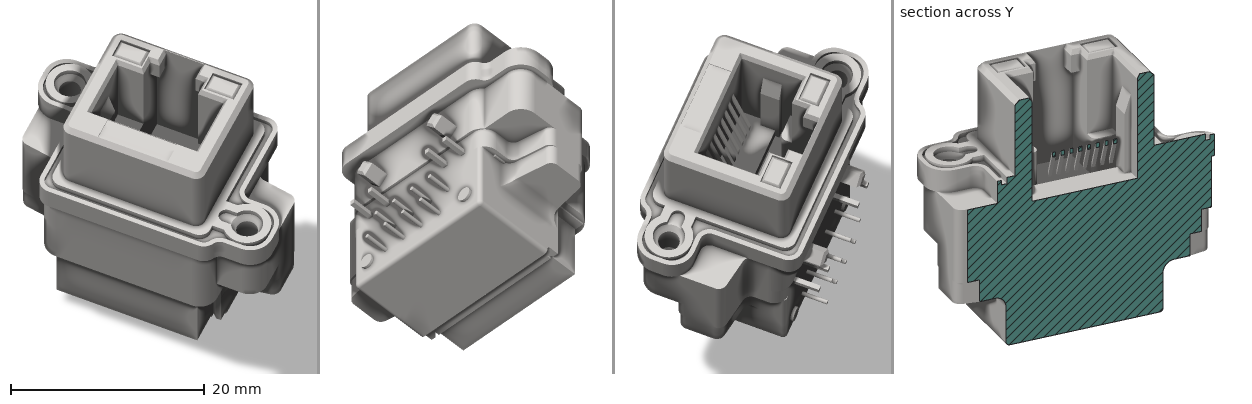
import cadquery as cq
import math


TOTAL_HEIGHT = 28.33
RIDGE_TOP = 19.63
RIM_TOP = 19.42
GROOVE_FLOOR = 18.9
FLANGE_BOTTOM = 16.85
EAR_BLOCK_BOTTOM = 10.9
BODY_BOTTOM = 8.33
PLATE_BOTTOM = 8.1
LUG_BOTTOM = 5.8
INSERT_BOTTOM = 1.35

SHELL_X, SHELL_Y = 15.95, 14.05
SHELL_CORNER = 1.03
SHELL_CHAMFER = 0.5

FLANGE_X, FLANGE_Y = 20.0, 17.97
FLANGE_CORNER = 1.5
EAR_REACH = 15.15
EAR_Y = 4.45
EAR_HALF_WIDTH = 3.1
EAR_CORNER = 2.48
EAR_BLEND = 1.03
RIM_WIDTH = 0.5

RIDGE_X, RIDGE_Y = 17.75, 15.88
RIDGE_CORNER = 1.2
RIDGE_RING_RADIUS = 2.5
RIDGE_NECK_WIDTH = 3.45
SCREW_X = 12.03
SCREW_RECESS_RADIUS = 1.67
SCREW_RECESS_DEPTH = 0.6
SCREW_CONE_DEPTH = 0.55
SCREW_RADIUS = 1.12
SCREW_DEPTH = 4.55
SCREW_TIP_HEIGHT = 0.67
KEY_SLOT_WIDTH = 1.58

BODY_X = 19.45
BODY_FRONT = -8.8
BODY_BACK = 7.67
BODY_CORNER = 2.0
BODY_LOWER_BACK_CORNER = 1.65
LUG_REACH = 14.55
LUG_TIP_HALF = 2.55
LUG_TAPER = math.radians(9.1)
LUG_CORNER = 0.95
LUG_BLEND = 0.97
EAR_BLOCK_SIDE = 6.95
EAR_BLOCK_CORNER = 1.97

BLOCK_X = 18.0
BLOCK_FRONT = -4.3
BLOCK_BACK = 7.33
BLOCK_BACK_CORNER = 0.48
BLOCK_EDGE = 0.45
BLOCK_BLEND = 1.25
REAR_LUG_TIP_HALF = 2.33
PICK_MARGIN = 0.03
NOTCH_DEPTH = 1.55
NOTCH_HEIGHT = 0.95
NOTCH_FILLET = 0.5
INSERT_X = 15.95
INSERT_FRONT = -7.97
COVER_FRONT = -8.05
SLIT_WIDTH = 0.48
TAB_REACH = 9.25
TAB_Y, TAB_WIDTH = 4.58, 1.48

CAVITY_HALF = 6.0
CAVITY_FRONT = -3.7
SHOULDER_Y = 3.1
KEY_HALF = 3.1
KEY_STEP_Y = 4.8
LATCH_HALF = 2.03
CAVITY_BACK = 6.48
LEAD_IN = 0.3
LEAD_IN_DEPTH = 0.5
LATCH_TAB_DEPTH = 2.55
CAVITY_DEPTH = 13.33
LEDGE_DEPTH = 9.1
LEDGE_Y = 1.73
LEDGE_CORNER = 0.6
FLOOR_STEP_Y = 0.33
FLOOR_STEP = 1.2
WEDGE_DEPTH = 3.1
WEDGE_WIDTH = 0.73
WEDGE_DROP = 2.12
WEDGE_BACK, WEDGE_FRONT = 0.8, -1.3

CONTACT_COUNT = 8
CONTACT_PITCH = 1.0
CONTACT_WIDTH = 0.42
CONTACT_TIP_Y = -1.75
CONTACT_TOP_DEPTH = 4.25
CONTACT_TIP_DEPTH = 9.7
CONTACT_THICKNESS = 0.6

WINDOW_X, WINDOW_Y = 5.2, 4.75
WINDOW_LENGTH, WINDOW_WIDTH = 3.35, 2.25
WINDOW_DEPTH = 0.35
LIGHT_BEVEL = 0.33
PLATE_X = 7.88
PLATE_FRONT, PLATE_BACK = -6.48, -4.03
PLATE_DEPTH = 0.1

PIN_ROOT = 3.03
PIN_TIP = 10.15
SIGNAL_PITCH = 1.27
SIGNAL_COUNT = 8
SIGNAL_DIAMETER = 0.45
SIGNAL_ROWS = (4.9, 2.35)
TAIL_Z = 8.9
TAIL_WIDTH = 0.55
TAIL_XS = (4.05, 6.58)
POST_TIP = 10.25
POST_X = 4.97
POST_Z = 12.9
POST_DIAGONAL = 2.18
POST_CHAMFER = 0.27
STANDOFF_X, STANDOFF_Z = 6.97, 2.33
STANDOFF_DIAMETER = 1.6


def box(x0, x1, y0, y1, z0, z1):
    return cq.Workplane("XY").box(x1 - x0, y1 - y0, z1 - z0, centered=False).translate((x0, y0, z0))


def rounded_box(x_size, y_size, z0, z1, radius):
    block = box(-x_size / 2, x_size / 2, -y_size / 2, y_size / 2, z0, z1)
    return block.edges("|Z").fillet(radius)


def half_turn(shape):
    """The same shape at the opposite ear, turned 180 degrees about Z."""
    return shape.rotate((0, 0, 0), (0, 0, 1), 180)


def both_ends(shape):
    return shape.union(half_turn(shape))


def both_sides(shape):
    return shape.union(shape.mirror("YZ"))


def back_plane(x, z):
    """Workplane inside the rear wall whose normal points along +Y."""
    return cq.Workplane(cq.Plane((x, PIN_ROOT, z), (1, 0, 0), (0, 1, 0)))


def flange_outline(z0, z1, inset=0.0):
    """Flange with both ears, its whole outline moved inwards by inset."""
    half_x = FLANGE_X / 2 - inset
    ear_half = EAR_HALF_WIDTH - inset
    plate = rounded_box(2 * half_x, FLANGE_Y - 2 * inset, z0, z1, FLANGE_CORNER - inset)
    ear = box(-EAR_REACH + inset, 0, EAR_Y - ear_half, EAR_Y + ear_half, z0, z1)
    ear = ear.edges("|Z and <X").fillet(EAR_CORNER - inset)
    outline = plate.union(both_ends(ear))

    corner = FLANGE_CORNER - inset
    corner_y = FLANGE_Y / 2 - FLANGE_CORNER
    rise = EAR_Y + ear_half - corner_y
    outer_x = half_x - corner + math.sqrt(corner ** 2 - rise ** 2)
    for x, y in ((-outer_x, EAR_Y + ear_half), (-half_x, EAR_Y - ear_half)):
        for sign in (1, -1):
            near = cq.selectors.NearestToPointSelector((sign * x, sign * y, (z0 + z1) / 2))
            outline = outline.edges("|Z").edges(near).fillet(EAR_BLEND + inset)
    return outline


def sealing_ridge():
    ridge = rounded_box(RIDGE_X, RIDGE_Y, GROOVE_FLOOR, RIDGE_TOP, RIDGE_CORNER)
    height = RIDGE_TOP - GROOVE_FLOOR
    ring = cq.Workplane("XY", origin=(-SCREW_X, EAR_Y, GROOVE_FLOOR))
    ring = ring.circle(RIDGE_RING_RADIUS).extrude(height)
    half_neck = RIDGE_NECK_WIDTH / 2
    neck = box(-SCREW_X, 0, EAR_Y - half_neck, EAR_Y + half_neck, GROOVE_FLOOR, RIDGE_TOP)
    return ridge.union(both_ends(ring.union(neck)))


def screw_hole():
    """Countersunk blind hole and the key slot beside it."""
    recess_floor = RIDGE_TOP - SCREW_RECESS_DEPTH
    cone_end = recess_floor - SCREW_CONE_DEPTH
    hole_end = RIDGE_TOP - SCREW_DEPTH
    profile = [
        (0, RIDGE_TOP),
        (SCREW_RECESS_RADIUS, RIDGE_TOP),
        (SCREW_RECESS_RADIUS, recess_floor),
        (SCREW_RADIUS, cone_end),
        (SCREW_RADIUS, hole_end),
        (0, hole_end - SCREW_TIP_HEIGHT),
    ]
    hole = cq.Workplane("XZ").polyline(profile).close().revolve(360, (0, 0), (0, 1))
    hole = hole.translate((-SCREW_X, EAR_Y, 0))
    slot_half = KEY_SLOT_WIDTH / 2
    slot_center = -RIDGE_X / 2 - slot_half
    slot = box(-SCREW_X, slot_center, EAR_Y - slot_half, EAR_Y + slot_half, recess_floor, RIDGE_TOP)
    slot_tip = cq.Workplane("XY", origin=(slot_center, EAR_Y, recess_floor))
    slot_tip = slot_tip.circle(slot_half).extrude(SCREW_RECESS_DEPTH)
    return hole.union(slot).union(slot_tip)


def flange():
    plate = flange_outline(FLANGE_BOTTOM, RIM_TOP)
    groove = flange_outline(GROOVE_FLOOR, RIM_TOP, RIM_WIDTH)
    return plate.cut(groove).union(sealing_ridge())


def side_lug(z0, z1, tip_half):
    """Tapered lug on the -X side, running into the middle of the part."""
    root_half = tip_half + LUG_REACH * math.tan(LUG_TAPER)
    points = [(-LUG_REACH, -tip_half), (0, -root_half), (0, root_half), (-LUG_REACH, tip_half)]
    lug = cq.Workplane("XY", origin=(0, 0, z0)).polyline(points).close().extrude(z1 - z0)
    return lug.edges("|Z and <X").fillet(LUG_CORNER)


def body():
    """Body section with the lugs, and the ear blocks above them."""
    half_x = BODY_X / 2
    lower = box(-half_x, half_x, BODY_FRONT, BLOCK_BACK, BODY_BOTTOM, FLANGE_BOTTOM)
    lower = lower.edges("|Z and <Y").fillet(BODY_CORNER)
    lower = lower.edges("|Z and >Y").fillet(BODY_LOWER_BACK_CORNER)
    lower = lower.union(both_ends(side_lug(BODY_BOTTOM, FLANGE_BOTTOM, LUG_TIP_HALF)))
    middle = (BODY_BOTTOM + FLANGE_BOTTOM) / 2
    lug_half = LUG_TIP_HALF + (LUG_REACH - half_x) * math.tan(LUG_TAPER)
    for x in (-half_x, half_x):
        for y in (-lug_half, lug_half):
            near = cq.selectors.NearestToPointSelector((x, y, middle))
            lower = lower.edges("|Z").edges(near).fillet(LUG_BLEND)

    upper = box(-half_x, half_x, BODY_FRONT, BODY_BACK, EAR_BLOCK_BOTTOM, FLANGE_BOTTOM)
    upper = upper.edges("|Z").fillet(BODY_CORNER)
    ear = box(-LUG_REACH, 0, 0, EAR_BLOCK_SIDE, EAR_BLOCK_BOTTOM, FLANGE_BOTTOM)
    ear = ear.edges("|Z and <X and >Y").fillet(EAR_BLOCK_CORNER)
    return lower.union(upper).union(both_ends(ear))


def rear_block():
    """Block behind the body with the lower ends of the lugs blended into it."""
    half_x = BLOCK_X / 2
    block = box(-half_x, half_x, BLOCK_FRONT, BLOCK_BACK, 0, BODY_BOTTOM)
    block = block.edges("|Z and >Y").fillet(BLOCK_BACK_CORNER)
    block = block.faces("<Z").edges().fillet(BLOCK_EDGE)

    notch_back = BLOCK_FRONT + NOTCH_DEPTH
    side_notch = box(-half_x, -INSERT_X / 2, BLOCK_FRONT, notch_back, 0, NOTCH_HEIGHT)
    side_notch = side_notch.edges("|X and >Y and >Z").fillet(NOTCH_FILLET)
    middle_notch = box(-INSERT_X / 2, INSERT_X / 2, BLOCK_FRONT, notch_back, 0, NOTCH_HEIGHT)
    block = block.cut(both_sides(side_notch)).cut(middle_notch)

    block = block.union(both_ends(side_lug(LUG_BOTTOM, BODY_BOTTOM, REAR_LUG_TIP_HALF)))
    for face_x in (-half_x, half_x):
        root = cq.selectors.BoxSelector(
            (face_x - PICK_MARGIN, -BLOCK_BACK / 2, LUG_BOTTOM - PICK_MARGIN),
            (face_x + PICK_MARGIN, BLOCK_BACK / 2, BODY_BOTTOM - PICK_MARGIN),
        )
        block = block.edges(root).fillet(BLOCK_BLEND)
    return block


def insert_block():
    """Contact insert in front of the rear block, its cover plate and side tabs."""
    half_x = INSERT_X / 2
    insert = box(-half_x, half_x, INSERT_FRONT, 0, INSERT_BOTTOM, BODY_BOTTOM)
    half_block = BLOCK_X / 2
    plate = box(-half_block, half_block, COVER_FRONT, 0, PLATE_BOTTOM, BODY_BOTTOM)
    tab_half = TAB_WIDTH / 2
    tabs = box(-TAB_REACH, TAB_REACH, TAB_Y - tab_half, TAB_Y + tab_half, PLATE_BOTTOM, BODY_BOTTOM)
    return insert.union(plate).union(tabs)


def insert_slits():
    """Bevelled slits between the insert and the side walls of the rear block."""
    inner = INSERT_X / 2
    points = [(inner, BLOCK_FRONT), (inner + SLIT_WIDTH, BLOCK_FRONT), (inner, BLOCK_FRONT + SLIT_WIDTH)]
    slit = cq.Workplane("XY", origin=(0, 0, NOTCH_HEIGHT)).polyline(points).close()
    return both_sides(slit.extrude(PLATE_BOTTOM - NOTCH_HEIGHT))


def plug_shell():
    shell = rounded_box(SHELL_X, SHELL_Y, FLANGE_BOTTOM, TOTAL_HEIGHT, SHELL_CORNER)
    return shell.faces(">Z").edges().chamfer(SHELL_CHAMFER)


def lead_in(half_x, y0, y1, back_growth=LEAD_IN):
    """Funnel that widens an opening towards the top face."""
    bottom = TOTAL_HEIGHT - LEAD_IN_DEPTH
    middle = (y0 + y1) / 2
    wide_y0, wide_y1 = y0 - LEAD_IN, y1 + back_growth
    funnel = cq.Workplane("XY", origin=(0, 0, bottom)).center(0, middle).rect(2 * half_x, y1 - y0)
    funnel = funnel.workplane(offset=LEAD_IN_DEPTH).center(0, (wide_y0 + wide_y1) / 2 - middle)
    return funnel.rect(2 * (half_x + LEAD_IN), wide_y1 - wide_y0).loft(ruled=True)


def plug_cavity():
    floor = TOTAL_HEIGHT - CAVITY_DEPTH
    tab_bottom = TOTAL_HEIGHT - LATCH_TAB_DEPTH
    ledge = TOTAL_HEIGHT - LEDGE_DEPTH
    main = box(-CAVITY_HALF, CAVITY_HALF, CAVITY_FRONT, SHOULDER_Y, floor, TOTAL_HEIGHT)
    key = box(-KEY_HALF, KEY_HALF, 0, KEY_STEP_Y, floor, TOTAL_HEIGHT)
    latch = box(-LATCH_HALF, LATCH_HALF, 0, CAVITY_BACK, floor, TOTAL_HEIGHT)
    under_tabs = box(-KEY_HALF, KEY_HALF, 0, CAVITY_BACK, floor, tab_bottom)
    cavity = main.union(key).union(latch).union(under_tabs)

    ledges = box(KEY_HALF, CAVITY_HALF, LEDGE_Y, SHOULDER_Y, floor, ledge)
    ledges = ledges.edges("|Z and <X and <Y").fillet(LEDGE_CORNER)
    cavity = cavity.cut(both_sides(ledges))
    floor_step = box(-CAVITY_HALF, CAVITY_HALF, CAVITY_FRONT, FLOOR_STEP_Y, floor, floor + FLOOR_STEP)
    cavity = cavity.cut(floor_step).cut(guide_wedges(floor)).cut(contacts())

    cavity = cavity.union(lead_in(CAVITY_HALF, CAVITY_FRONT, SHOULDER_Y))
    cavity = cavity.union(lead_in(KEY_HALF, SHOULDER_Y, KEY_STEP_Y))
    return cavity.union(lead_in(LATCH_HALF, KEY_STEP_Y, CAVITY_BACK, back_growth=0))


def guide_wedges(floor):
    """Side guides with sloping tops."""
    top = TOTAL_HEIGHT - WEDGE_DEPTH
    inner = CAVITY_HALF - WEDGE_WIDTH
    points = [(CAVITY_HALF, top), (inner, top - WEDGE_DROP), (inner, floor), (CAVITY_HALF, floor)]
    wedge = cq.Workplane("XZ", origin=(0, WEDGE_BACK, 0)).polyline(points).close()
    return both_sides(wedge.extrude(WEDGE_BACK - WEDGE_FRONT))


def contacts():
    """Row of sloping spring contacts rising from the front wall."""
    top = TOTAL_HEIGHT - CONTACT_TOP_DEPTH
    tip = TOTAL_HEIGHT - CONTACT_TIP_DEPTH
    points = [
        (CAVITY_FRONT, top),
        (CONTACT_TIP_Y, tip),
        (CONTACT_TIP_Y, tip - CONTACT_THICKNESS),
        (CAVITY_FRONT, top - CONTACT_THICKNESS),
    ]
    row = cq.Workplane("XY")
    for i in range(CONTACT_COUNT):
        x = (i - (CONTACT_COUNT - 1) / 2) * CONTACT_PITCH
        wire = cq.Workplane("YZ", origin=(x, 0, 0)).polyline(points).close()
        row = row.union(wire.extrude(CONTACT_WIDTH / 2, both=True))
    return row


def light_window():
    """Ring-shaped recess leaving a bevelled light pad in the window."""
    bottom = TOTAL_HEIGHT - WINDOW_DEPTH
    recess = cq.Workplane("XY", origin=(WINDOW_X, WINDOW_Y, bottom))
    recess = recess.rect(WINDOW_LENGTH, WINDOW_WIDTH).extrude(WINDOW_DEPTH)
    light = cq.Workplane("XY", origin=(WINDOW_X, WINDOW_Y, bottom)).rect(WINDOW_LENGTH, WINDOW_WIDTH)
    light = light.workplane(offset=WINDOW_DEPTH)
    light = light.rect(WINDOW_LENGTH - 2 * LIGHT_BEVEL, WINDOW_WIDTH - 2 * LIGHT_BEVEL).loft(ruled=True)
    return recess.cut(light)


def name_plate():
    """Shallow recess for the name plate in front of the plug opening."""
    return box(-PLATE_X / 2, PLATE_X / 2, PLATE_FRONT, PLATE_BACK, TOTAL_HEIGHT - PLATE_DEPTH, TOTAL_HEIGHT)


def board_pins():
    """Two staggered rows of round signal pins and the square tails."""
    length = PIN_TIP - PIN_ROOT
    pins = cq.Workplane("XY")
    for i in range(SIGNAL_COUNT):
        x = (i - (SIGNAL_COUNT - 1) / 2) * SIGNAL_PITCH
        z = SIGNAL_ROWS[i % 2]
        pins = pins.union(back_plane(x, z).circle(SIGNAL_DIAMETER / 2).extrude(length))
    for x in TAIL_XS:
        tail = back_plane(x, TAIL_Z).rect(TAIL_WIDTH, TAIL_WIDTH).extrude(length)
        pins = pins.union(both_sides(tail))
    return pins


def board_posts():
    """Diamond-section locating posts and the round standoffs below them."""
    post = back_plane(POST_X, POST_Z).polygon(4, POST_DIAGONAL).extrude(POST_TIP - PIN_ROOT)
    post = post.faces(">Y").chamfer(POST_CHAMFER)
    standoff = back_plane(STANDOFF_X, STANDOFF_Z).circle(STANDOFF_DIAMETER / 2).extrude(BODY_BACK - PIN_ROOT)
    return both_sides(post.union(standoff))


outside = flange().union(plug_shell()).union(body()).union(rear_block()).union(insert_block())
outside = outside.cut(insert_slits())

result = outside.union(board_pins()).union(board_posts())
result = result.cut(plug_cavity())
result = result.cut(both_ends(screw_hole()))
result = result.cut(both_sides(light_window()))
result = result.cut(name_plate())